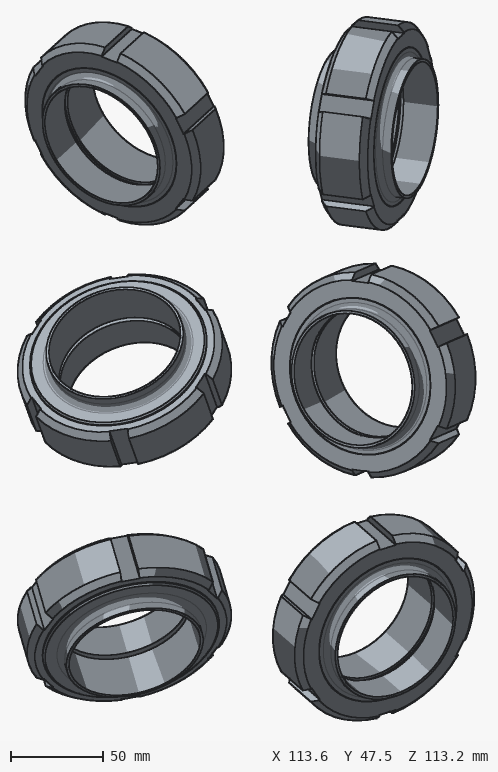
import cadquery as cq

total_length = 47.5

bore_radius = 36.5
tube_diameter = 76.0
tube_radius = tube_diameter / 2

nut_radius = 56.8
nut_front = 8.0
nut_back = 37.9
nut_chamfer = 3.5
nut_opening_radius = 43.5
nut_shoulder = 13.6

slot_count = 6
slot_width = 10.0
slot_floor_radius = 52.5

neck_radius = 43.3
neck_front = nut_front
front_fillet = 3.0
collar_diameter = 93.0
collar_radius = collar_diameter / 2
liner_joint = 19.5

thread_diameter = 98.0
thread_radius = thread_diameter / 2
flange_back = 39.6
flange_chamfer = 1.0
back_fillet = 3.5

lip_radius = tube_radius
lip_front = 22.4
groove_diameter = 86.0
groove_radius = groove_diameter / 2
groove_floor = 23.5


def revolve_about_y(profile):
    """Turn a closed (radius, y) profile drawn in the XY plane about the Y axis."""
    return profile.close().revolve(360, (0, 0, 0), (0, 1, 0))


def make_nut():
    body = revolve_about_y(
        cq.Workplane("XY")
        .moveTo(nut_opening_radius, nut_front)
        .lineTo(nut_radius - nut_chamfer, nut_front)
        .lineTo(nut_radius, nut_front + nut_chamfer)
        .lineTo(nut_radius, nut_back - nut_chamfer)
        .lineTo(nut_radius - nut_chamfer, nut_back)
        .lineTo(thread_radius, nut_back)
        .lineTo(thread_radius, nut_shoulder)
        .lineTo(nut_opening_radius, nut_shoulder)
    )
    slot_cutter = cq.Workplane("XY").box(
        slot_width, total_length, nut_radius, centered=(True, False, False)
    ).translate((0, 0, slot_floor_radius))
    for index in range(slot_count):
        angle = index * 360 / slot_count
        body = body.cut(slot_cutter.rotate((0, 0, 0), (0, 1, 0), angle))
    return body


def make_front_liner():
    return revolve_about_y(
        cq.Workplane("XY")
        .moveTo(bore_radius, 0)
        .lineTo(tube_radius, 0)
        .lineTo(tube_radius, neck_front - front_fillet)
        .tangentArcPoint((tube_radius + front_fillet, neck_front), relative=False)
        .lineTo(neck_radius, neck_front)
        .lineTo(neck_radius, nut_shoulder)
        .lineTo(collar_radius, nut_shoulder)
        .lineTo(collar_radius, liner_joint)
        .lineTo(bore_radius, liner_joint)
    )


def make_back_liner():
    return revolve_about_y(
        cq.Workplane("XY")
        .moveTo(bore_radius, total_length)
        .lineTo(tube_radius, total_length)
        .lineTo(tube_radius, flange_back + back_fillet)
        .tangentArcPoint((tube_radius + back_fillet, flange_back), relative=False)
        .lineTo(thread_radius - flange_chamfer, flange_back)
        .lineTo(thread_radius, flange_back - flange_chamfer)
        .lineTo(thread_radius, liner_joint)
        .lineTo(groove_radius, liner_joint)
        .lineTo(groove_radius, groove_floor)
        .lineTo(lip_radius, groove_floor)
        .lineTo(lip_radius, lip_front)
        .lineTo(bore_radius, lip_front)
    )


nut = make_nut()
front_liner = make_front_liner()
back_liner = make_back_liner()

result = cq.Compound.makeCompound([nut.val(), front_liner.val(), back_liner.val()])